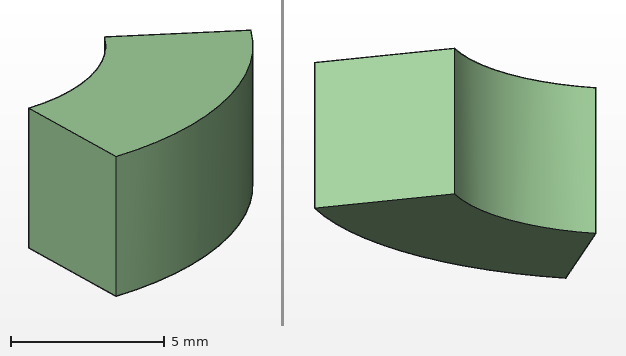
import cadquery as cq
import math

outer_radius = 11.0
inner_radius = 6.2
height = 5.0
sweep_angle = 60.0


def polar_point(radius, angle):
    """Point in the XY plane at a radius and an angle (degrees) about the ring axis."""
    return (
        radius * math.cos(math.radians(angle)),
        radius * math.sin(math.radians(angle)),
    )


def ring_segment():
    """Extruded sector with concentric inner and outer arcs and radial end faces."""
    half_angle = sweep_angle / 2
    return (
        cq.Workplane("XY")
        .moveTo(*polar_point(inner_radius, -half_angle))
        .lineTo(*polar_point(outer_radius, -half_angle))
        .threePointArc(
            polar_point(outer_radius, 0),
            polar_point(outer_radius, half_angle),
        )
        .lineTo(*polar_point(inner_radius, half_angle))
        .threePointArc(
            polar_point(inner_radius, 0),
            polar_point(inner_radius, -half_angle),
        )
        .close()
        .extrude(height)
    )


result = ring_segment()